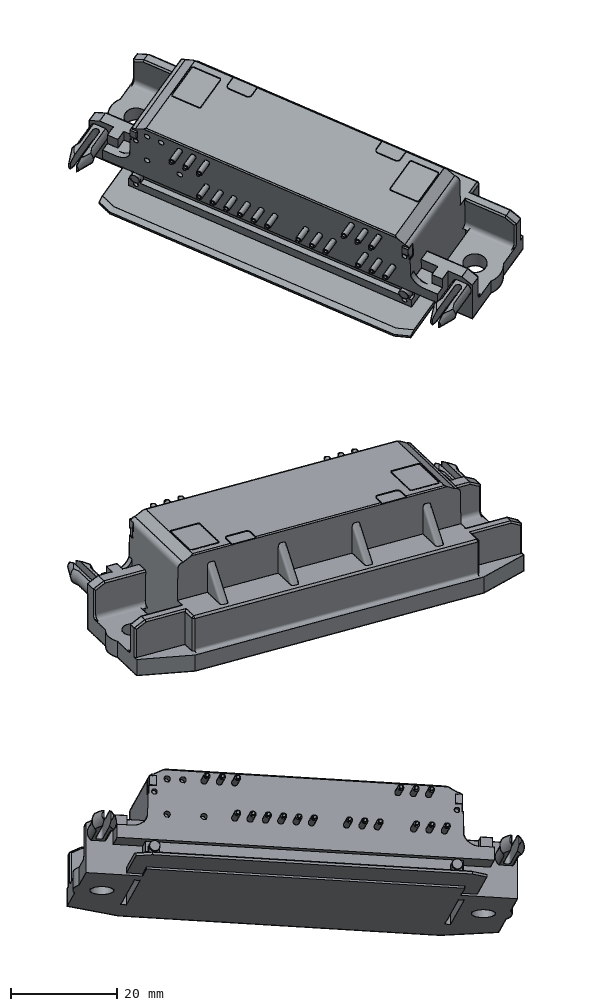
import cadquery as cq

half_length = 42.0
back_y = 27.45
height = 20.2

body_half = 30.1
body_foot_half = 30.5
body_back_y = 19.3
shoulder_z = 18.0
shoulder_radius = 1.1
slope_top_x = 26.9
top_chamfer = 0.25

ear_half = 41.3
ear_front_y = 4.1
ear_back_y = 23.1
base_corner_y = 23.8
floor_z = 3.5
wall_top_z = 11.1
wall_edge_chamfer = 0.3
trough_front_y = 6.7
trough_back_y = 20.9
wall_chamfer_x = 2.3
wall_chamfer_z = 1.2
floor_fillet = 1.0
slot_outer_x = 31.6
back_taper_x = 30.8

rear_shelf_y = 26.2
rear_shelf_half = 30.65
rear_shelf_chamfer = 0.4
rear_shelf_foot_radius = 0.5
gusset_width = 1.7
gusset_foot_y = 24.8
gusset_top_z = 17.55
gusset_fillet = 0.5
gusset_centers = (-23.0, -7.9, 7.9, 23.0)

mount_x = 36.5
mount_y = 13.7
mount_diameter = 4.5
mount_boss_radius = 4.6

flange_half = 36.1
flange_bottom_z = 6.0
flange_top_z = 8.6
flange_thickness = 1.3
flange_arc_radius = 3.0
ear_block_inner_x = 33.8
ear_block_front_y = 1.85

plate_half = 33.6
plate_front_y = -7.05
plate_bottom_z = 0.4
plate_top_z = 1.4
plate_corner_x = 2.9
plate_corner_y = 1.2
plate_bevel_y = 1.2
plate_bevel_z = 0.5

pin_pitch = 2.9
pin_diameter = 1.2
pin_tip_diameter = 0.7
pin_shoulder_y = -3.0
pin_end_y = -3.5
upper_row_z = 18.2
lower_row_z = 11.2
pin_groups = (
    (-19.5, upper_row_z, 3),
    (17.6, upper_row_z, 3),
    (-13.6, lower_row_z, 6),
    (7.8, lower_row_z, 3),
    (20.65, lower_row_z, 3),
)
contact_holes = (
    (-26.5, upper_row_z),
    (-23.5, upper_row_z),
    (-26.5, lower_row_z),
    (-19.5, lower_row_z),
)
contact_hole_depth = 1.7

stud_x = 29.0
stud_diameter = 2.0
stud_front_y = -0.4
lower_stud_z = 4.6
upper_stud_z = 17.6
upper_stud_x = 29.3
upper_stud_width = 1.35
upper_stud_height = 1.85
stud_relief_bottom_z = 15.3
small_hole_diameter = 1.0
small_hole_depth = 0.8
small_hole_heights = (15.5, 2.6)

clip_x = 39.0
clip_z = 8.1
clip_height = 3.1
clip_radius = 2.0
clip_barb_radius = 2.35
clip_tip_radius = 1.1
clip_neck_y = -1.3
clip_barb_y = -2.5
clip_end_y = -6.05
clip_slot_width = 1.35
clip_slot_end_y = 3.3

recess_depth = 0.2
window_x = 23.5
window_y = 13.6
window_size = (6.2, 8.15)
window_corner = 0.3
notch_x = 16.0
notch_size = (5.2, 3.0)
notch_corner = 0.75


def block(x0, x1, y0, y1, z0, z1):
    return cq.Workplane("XY").box(x1 - x0, y1 - y0, z1 - z0, centered=False).translate((x0, y0, z0))


def front_plane(y):
    """Workplane at the given Y whose local axes are X and Z; positive extrusion runs to -Y."""
    return cq.Workplane("XZ", origin=(0, y, 0))


def both_ends(solid):
    return solid.union(solid.mirror("YZ"))


def extrude_housing(end_y):
    """Cross-section of the housing extruded from the pin face back to end_y."""
    profile = (
        front_plane(0)
        .moveTo(-body_foot_half, 0)
        .lineTo(-body_half, shoulder_z)
        .radiusArc((-body_half + shoulder_radius, shoulder_z + shoulder_radius), shoulder_radius)
        .lineTo(-slope_top_x, height)
        .lineTo(slope_top_x, height)
        .lineTo(body_half - shoulder_radius, shoulder_z + shoulder_radius)
        .radiusArc((body_half, shoulder_z), shoulder_radius)
        .lineTo(body_foot_half, 0)
        .close()
    )
    return profile.extrude(-end_y)


def make_housing():
    housing = extrude_housing(body_back_y)
    housing = housing.faces(">Z").edges("|X").chamfer(top_chamfer)
    under_flange = block(-body_foot_half, body_foot_half, 0, flange_thickness, 0, flange_bottom_z)
    return housing.cut(under_flange)


def make_end_slot():
    """Through slot between the floor of the left ear and the housing."""
    return block(-slot_outer_x, -body_half, trough_front_y, trough_back_y, 0, floor_z)


def make_base():
    outline = [
        (-ear_half, ear_front_y),
        (-ear_half, base_corner_y),
        (-back_taper_x, back_y),
        (back_taper_x, back_y),
        (ear_half, base_corner_y),
        (ear_half, ear_front_y),
    ]
    base = cq.Workplane("XY").polyline(outline).close().extrude(floor_z)
    return base.cut(both_ends(make_end_slot()))


def make_rear_shelf():
    wide = block(-rear_shelf_half, rear_shelf_half, trough_back_y, rear_shelf_y, 0, wall_top_z)
    wide = wide.edges("(|Z and >Y) or (>Z and (not <Y))").chamfer(rear_shelf_chamfer)
    drafted = extrude_housing(trough_back_y).intersect(
        block(-body_foot_half, body_foot_half, body_back_y, trough_back_y, 0, wall_top_z)
    )
    foot = (
        cq.Workplane("YZ")
        .moveTo(rear_shelf_y, floor_z)
        .lineTo(rear_shelf_y + rear_shelf_foot_radius, floor_z)
        .radiusArc((rear_shelf_y, floor_z + rear_shelf_foot_radius), rear_shelf_foot_radius)
        .close()
        .extrude(rear_shelf_half - rear_shelf_chamfer, both=True)
    )
    return drafted.union(wide).union(foot)


def make_gusset(center_x):
    triangle = [
        (body_back_y, wall_top_z),
        (gusset_foot_y, wall_top_z),
        (body_back_y, gusset_top_z),
    ]
    gusset = cq.Workplane("YZ").polyline(triangle).close().extrude(gusset_width / 2, both=True)
    gusset = gusset.edges("(not |X) and (not |Y) and (not |Z)").fillet(gusset_fillet)
    return gusset.translate((center_x, 0, 0))


def make_ear():
    """Left ear: two walls with chamfered outer tops and edges beside a filleted floor."""
    side = [
        (-ear_half, 0),
        (-ear_half, wall_top_z - wall_chamfer_z),
        (-ear_half + wall_chamfer_x, wall_top_z),
        (-body_half, wall_top_z),
        (-body_half, 0),
    ]
    ear = front_plane(ear_front_y).polyline(side).close().extrude(ear_front_y - ear_back_y)
    trough = block(-half_length, -body_half, trough_front_y, trough_back_y, floor_z, height)
    ear = ear.cut(trough.edges("|X and <Z").fillet(floor_fillet))
    wall_edges = ear.edges(cq.selectors.BoxSelector(
        (-half_length, ear_front_y + wall_edge_chamfer, floor_z + floor_fillet),
        (-body_half - wall_edge_chamfer, back_y, height),
    )).edges("not |Y")
    ear = wall_edges.chamfer(wall_edge_chamfer)
    return ear.cut(make_end_slot())


def make_ear_front():
    """Shelf, stop block and curved flange in front of the left ear."""
    shelf = block(
        -flange_half, -body_half, flange_thickness, ear_front_y, flange_bottom_z, flange_top_z
    )
    stop = block(
        -flange_half, -ear_block_inner_x, ear_block_front_y, ear_front_y, flange_top_z, wall_top_z
    )
    flange = (
        front_plane(0)
        .moveTo(-flange_half, flange_bottom_z)
        .lineTo(-flange_half, flange_top_z)
        .lineTo(-body_half - flange_arc_radius, flange_top_z)
        .radiusArc((-body_half, flange_top_z + flange_arc_radius), -flange_arc_radius)
        .lineTo(-body_half, flange_bottom_z)
        .close()
        .extrude(-flange_thickness)
    )
    return shelf.union(stop).union(flange)


def make_foot():
    upper = block(-body_foot_half, body_foot_half, flange_thickness, ear_front_y, 0, flange_bottom_z)
    lower = block(-body_foot_half, body_foot_half, 0, ear_front_y, 0, floor_z)
    return upper.union(lower)


def make_plate():
    outline = [
        (-plate_half, ear_front_y),
        (-plate_half, plate_front_y + plate_corner_y),
        (-plate_half + plate_corner_x, plate_front_y),
        (plate_half - plate_corner_x, plate_front_y),
        (plate_half, plate_front_y + plate_corner_y),
        (plate_half, ear_front_y),
    ]
    plate = (
        cq.Workplane("XY", origin=(0, 0, plate_bottom_z))
        .polyline(outline)
        .close()
        .extrude(plate_top_z - plate_bottom_z)
    )
    front_top_edges = plate.faces(">Z").edges(cq.selectors.BoxSelector(
        (-plate_half + plate_corner_x / 4, plate_front_y - plate_corner_y, 0),
        (plate_half - plate_corner_x / 4, plate_front_y + plate_corner_y, height),
    ))
    return front_top_edges.chamfer(plate_bevel_z, plate_bevel_y)


def make_pin(x, z):
    shaft = front_plane(0).center(x, z).circle(pin_diameter / 2).extrude(-pin_shoulder_y)
    tip = front_plane(0).center(x, z).circle(pin_tip_diameter / 2).extrude(-pin_end_y)
    return shaft.union(tip)


def make_studs():
    """Left pair of corner studs on the pin face."""
    lower_round = (
        front_plane(flange_thickness)
        .center(-stud_x, lower_stud_z)
        .circle(stud_diameter / 2)
        .extrude(flange_thickness - stud_front_y)
    )
    lower_base = block(
        -stud_x - stud_diameter / 2, -stud_x + stud_diameter / 2,
        0, flange_thickness, floor_z, lower_stud_z,
    )
    upper = block(
        -upper_stud_x - upper_stud_width / 2, -upper_stud_x + upper_stud_width / 2,
        stud_front_y, flange_thickness,
        upper_stud_z - upper_stud_height / 2, upper_stud_z + upper_stud_height / 2,
    )
    return lower_round.union(lower_base).union(upper)


def make_stud_relief():
    """Shallow step in the left front corner beside the upper stud."""
    return block(
        -body_foot_half, -upper_stud_x - upper_stud_width / 2,
        0, flange_thickness,
        stud_relief_bottom_z, upper_stud_z + upper_stud_height / 2,
    )


def make_clip():
    """Left locking clip: a slotted, barbed pin flattened on top and bottom."""
    half_profile = [
        (0, ear_front_y),
        (clip_radius, ear_front_y),
        (clip_radius, clip_neck_y),
        (clip_barb_radius, clip_barb_y),
        (clip_tip_radius, clip_end_y),
        (0, clip_end_y),
    ]
    clip = cq.Workplane("XY").polyline(half_profile).close().revolve(360, (0, 0, 0), (0, 1, 0))
    clip = clip.intersect(block(
        -clip_barb_radius, clip_barb_radius, clip_end_y, ear_front_y, -clip_height / 2, clip_height / 2
    ))
    slot_round_y = clip_slot_end_y - clip_slot_width / 2
    slot = block(
        -clip_slot_width / 2, clip_slot_width / 2, clip_end_y, slot_round_y, -clip_height, clip_height
    )
    slot_end = (
        cq.Workplane("XY")
        .center(0, slot_round_y)
        .circle(clip_slot_width / 2)
        .extrude(clip_height, both=True)
    )
    return clip.cut(slot).cut(slot_end).translate((-clip_x, 0, clip_z))


def make_top_recesses():
    """Left window and notch sunk into the top face."""
    bottom = cq.Workplane("XY", origin=(0, 0, height - recess_depth))
    window = bottom.center(-window_x, window_y).rect(*window_size).extrude(recess_depth)
    window = window.edges("|Z").fillet(window_corner)
    notch_y = body_back_y - notch_size[1] / 2
    notch = bottom.center(-notch_x, notch_y).rect(*notch_size).extrude(recess_depth)
    notch = notch.edges("|Z and <Y").fillet(notch_corner)
    return window.union(notch)


def make_hole(x, z, diameter, depth):
    return front_plane(0).center(x, z).circle(diameter / 2).extrude(-depth)


result = make_housing().union(make_base()).union(make_rear_shelf())
result = result.union(both_ends(make_ear())).union(both_ends(make_ear_front()))
result = result.union(make_foot()).union(make_plate())
for gusset_x in gusset_centers:
    result = result.union(make_gusset(gusset_x))

boss_x = half_length - mount_boss_radius
boss = cq.Workplane("XY").center(-boss_x, mount_y).circle(mount_boss_radius).extrude(floor_z)
boss = boss.intersect(block(-half_length, -mount_x, 0, back_y, 0, floor_z))
mount_hole = cq.Workplane("XY").center(-mount_x, mount_y).circle(mount_diameter / 2).extrude(floor_z)
result = result.union(both_ends(boss)).cut(both_ends(mount_hole))

result = result.cut(both_ends(make_stud_relief()))
result = result.union(both_ends(make_studs())).union(both_ends(make_clip()))
for first_x, row_z, count in pin_groups:
    for i in range(count):
        result = result.union(make_pin(first_x + i * pin_pitch, row_z))

result = result.cut(both_ends(make_top_recesses()))
for hole_x, hole_z in contact_holes:
    result = result.cut(make_hole(hole_x, hole_z, pin_diameter, contact_hole_depth))
for hole_z in small_hole_heights:
    small_hole = make_hole(-stud_x, hole_z, small_hole_diameter, small_hole_depth)
    result = result.cut(both_ends(small_hole))